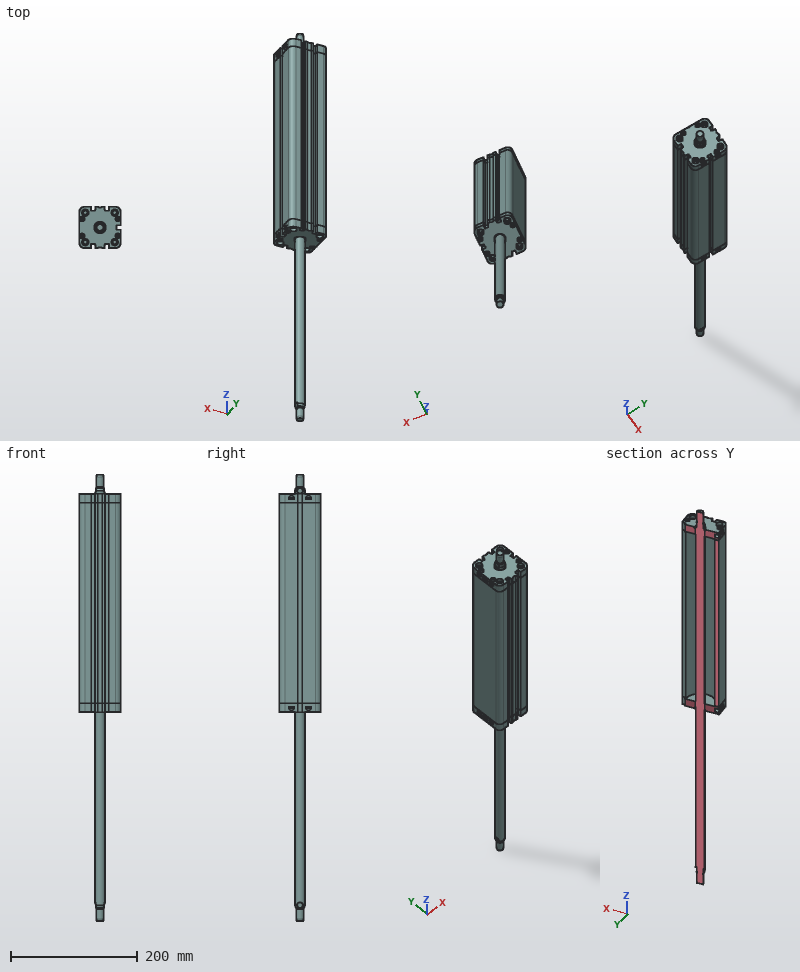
import cadquery as cq

TOTAL_LENGTH = 705.0
BODY_WIDTH = 65.5
CORNER_RADIUS = 8.5
ROD_PROJECTION = 30.0
BODY_LENGTH = 345.0
CAP_LENGTH = 14.0

BORE_DIAMETER = 50.0

SLOT_WIDTH = 6.8
SLOT_DEPTH = 6.0
SLOT_OFFSET = 10.5
SLOT_BEVEL_WIDTH = 1.05
SLOT_BEVEL_HEIGHT = 2.0
GROOVE_WIDTH = 6.6
GROOVE_DEPTH = 1.1

ROD_DIAMETER = 16.0
THREAD_DIAMETER = 12.0
THREAD_LENGTH = 21.0
THREAD_TIP_DIAMETER = 10.5
THREAD_TIP_LENGTH = 3.5
UNDERCUT_DIAMETER = 10.5
UNDERCUT_LENGTH = 2.0
SHOULDER_DIAMETER = 13.5
SHOULDER_TAPER_LENGTH = 4.0
FLAT_DIAMETER = 10.0
FLAT_SPACING = 13.0
FLAT_INSET = 3.5

ROD_RECESS_DIAMETER = 18.0
ROD_RECESS_DEPTH = 2.0
SCREW_OFFSET = 23.0
SCREW_HOLE_DIAMETER = 6.6
SCREW_HOLE_DEPTH = 10.5
SCREW_BORE_DIAMETER = 10.5
SCREW_BORE_DEPTH = 5.5
PORT_DIAMETER = 10.5
PORT_DEPTH = 1.0
PORT_CORE_DIAMETER = 5.2
PORT_CORE_DEPTH = 7.0
NUT_OFFSET_X = 28.0
NUT_OFFSET_Y = 13.5
NUT_BORE_DIAMETER = 8.0
NUT_BORE_DEPTH = 2.0
NUT_HOLE_DIAMETER = 5.2
NUT_SLOT_WIDTH = 8.5
NUT_SLOT_HEIGHT = 3.5

HALF_WIDTH = BODY_WIDTH / 2
NUT_SLOT_DEPTH = HALF_WIDTH - NUT_OFFSET_X
BODY_BASE = TOTAL_LENGTH - ROD_PROJECTION - BODY_LENGTH
TUBE_LENGTH = BODY_LENGTH - 2 * CAP_LENGTH
TUBE_BASE = BODY_BASE + CAP_LENGTH
MIDDLE = BODY_BASE + BODY_LENGTH / 2


def profile_bar(length):
    """Square bar standing on Z = 0, with its outer channels, for the barrel and the caps."""
    bar = (
        cq.Workplane("XY")
        .rect(BODY_WIDTH, BODY_WIDTH)
        .extrude(length)
        .edges("|Z")
        .fillet(CORNER_RADIUS)
    )
    outer_wall = SLOT_OFFSET + SLOT_WIDTH / 2
    inner_wall = SLOT_OFFSET - SLOT_WIDTH / 2
    floor = HALF_WIDTH - SLOT_DEPTH
    for x_side in (-1, 1):
        for y_side in (-1, 1):
            slot = (
                cq.Workplane("XY")
                .moveTo(x_side * outer_wall, y_side * HALF_WIDTH)
                .lineTo(x_side * outer_wall, y_side * floor)
                .lineTo(x_side * (inner_wall + SLOT_BEVEL_WIDTH), y_side * floor)
                .lineTo(x_side * inner_wall, y_side * (floor + SLOT_BEVEL_HEIGHT))
                .lineTo(x_side * inner_wall, y_side * HALF_WIDTH)
                .close()
                .extrude(length)
            )
            bar = bar.cut(slot)
    side_slot = cq.Workplane("XY").center(HALF_WIDTH, 0).rect(2 * SLOT_DEPTH, SLOT_WIDTH)
    bar = bar.cut(side_slot.extrude(length))
    for side in (-1, 1):
        groove = (
            cq.Workplane("XY")
            .moveTo(-GROOVE_WIDTH / 2, side * HALF_WIDTH)
            .threePointArc((0, side * (HALF_WIDTH - GROOVE_DEPTH)), (GROOVE_WIDTH / 2, side * HALF_WIDTH))
            .close()
            .extrude(length)
        )
        bar = bar.cut(groove)
    return bar


def make_tube():
    """Barrel between the two end caps."""
    bore = cq.Workplane("XY").circle(BORE_DIAMETER / 2).extrude(TUBE_LENGTH)
    return profile_bar(TUBE_LENGTH).cut(bore).translate((0, 0, TUBE_BASE))


def bore_from_top(diameter, depth, points):
    """Vertical round cutters sunk from the outer face of a cap."""
    return (
        cq.Workplane("XY", origin=(0, 0, CAP_LENGTH))
        .pushPoints(points)
        .circle(diameter / 2)
        .extrude(-depth)
    )


def bore_from_side(diameter, depth):
    """Round cutter sunk from the -X face of a cap at mid height."""
    return (
        cq.Workplane("YZ", origin=(-HALF_WIDTH, 0, CAP_LENGTH / 2))
        .circle(diameter / 2)
        .extrude(depth)
    )


def make_top_cap():
    """End cap at the upper end of the barrel."""
    axis = [(0, 0)]
    screws = [(x, y) for x in (-SCREW_OFFSET, SCREW_OFFSET) for y in (-SCREW_OFFSET, SCREW_OFFSET)]
    nuts = [(x, y) for x in (-NUT_OFFSET_X, NUT_OFFSET_X) for y in (-NUT_OFFSET_Y, NUT_OFFSET_Y)]
    cap = profile_bar(CAP_LENGTH)
    cap = cap.cut(bore_from_top(ROD_DIAMETER, CAP_LENGTH, axis))
    cap = cap.cut(bore_from_top(ROD_RECESS_DIAMETER, ROD_RECESS_DEPTH, axis))
    cap = cap.cut(bore_from_top(SCREW_HOLE_DIAMETER, SCREW_HOLE_DEPTH, screws))
    cap = cap.cut(bore_from_top(SCREW_BORE_DIAMETER, SCREW_BORE_DEPTH, screws))
    cap = cap.cut(bore_from_top(NUT_BORE_DIAMETER, NUT_BORE_DEPTH, nuts))
    cap = cap.cut(bore_from_top(NUT_HOLE_DIAMETER, CAP_LENGTH / 2, nuts))
    for x in (-HALF_WIDTH, HALF_WIDTH):
        for y in (-NUT_OFFSET_Y, NUT_OFFSET_Y):
            slot = cq.Workplane("XY").box(2 * NUT_SLOT_DEPTH, NUT_SLOT_WIDTH, NUT_SLOT_HEIGHT)
            cap = cap.cut(slot.translate((x, y, CAP_LENGTH / 2)))
    cap = cap.cut(bore_from_side(PORT_DIAMETER, PORT_DEPTH))
    cap = cap.cut(bore_from_side(PORT_CORE_DIAMETER, PORT_CORE_DEPTH))
    return cap.translate((0, 0, TUBE_BASE + TUBE_LENGTH))


def make_bottom_cap():
    """End cap at the lower end, the mirror image of the upper one."""
    return make_top_cap().mirror("XY", (0, 0, MIDDLE))


def make_rod():
    """Through piston rod with a threaded stud at each end."""
    rod_radius = ROD_DIAMETER / 2
    thread_radius = THREAD_DIAMETER / 2
    neck_radius = UNDERCUT_DIAMETER / 2
    half_length = TOTAL_LENGTH / 2
    shoulder = half_length - THREAD_LENGTH
    half_rod = (
        cq.Workplane("XZ")
        .moveTo(0, 0)
        .lineTo(rod_radius, 0)
        .lineTo(rod_radius, shoulder - SHOULDER_TAPER_LENGTH)
        .lineTo(SHOULDER_DIAMETER / 2, shoulder)
        .lineTo(neck_radius, shoulder)
        .lineTo(neck_radius, shoulder + UNDERCUT_LENGTH)
        .lineTo(thread_radius, shoulder + UNDERCUT_LENGTH)
        .lineTo(thread_radius, half_length - THREAD_TIP_LENGTH)
        .lineTo(THREAD_TIP_DIAMETER / 2, half_length)
        .lineTo(0, half_length)
        .close()
        .revolve(360, (0, 0), (0, 1))
    )
    for side in (-1, 1):
        flat = (
            cq.Workplane("YZ", origin=(side * FLAT_SPACING / 2, 0, shoulder - FLAT_INSET))
            .circle(FLAT_DIAMETER / 2)
            .extrude(side * ROD_DIAMETER)
        )
        half_rod = half_rod.cut(flat)
    rod = half_rod.union(half_rod.mirror("XY"))
    return rod.translate((0, 0, half_length))


tube = make_tube()
top_cap = make_top_cap()
bottom_cap = make_bottom_cap()
rod = make_rod()

result = cq.Compound.makeCompound([tube.val(), top_cap.val(), bottom_cap.val(), rod.val()])